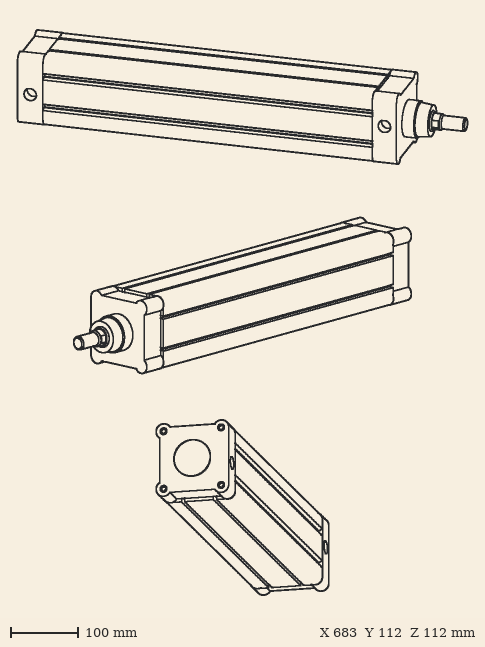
import cadquery as cq


total_length = 683.0
boss_height = 2.0
rear_cap_length = 39.5
barrel_length = 512.0
front_cap_length = 37.5
rear_cap_start = boss_height
barrel_start = rear_cap_start + rear_cap_length
front_cap_start = barrel_start + barrel_length
front_cap_end = front_cap_start + front_cap_length

cap_size = 112.0
lobe_radius = 11.5
lobe_offset = cap_size / 2 - lobe_radius
recessed_half = 50.5

barrel_inset = 0.5
barrel_half = cap_size / 2 - barrel_inset
barrel_corner_radius = barrel_half - lobe_offset
groove_offset = 24.5
groove_width = 5.0
groove_depth = 8.0
mouth_width = 10.0
mouth_depth = 5.5

boss_radius = 28.0
port_radius = 9.5
port_depth = 17.0
port_offset = 6.0
screw_hole_radius = 3.5
screw_hole_depth = 17.0
screw_chamfer = 1.7

neck_radius = boss_radius
neck_length = 18.5
neck_chamfer_length = 1.5
collar_start_radius = 26.0
collar_end_radius = 24.0
collar_length = 19.0
lip_start_radius = 16.0
lip_end_radius = 14.0
lip_length = 3.0
neck_end = front_cap_end + neck_length
collar_start = neck_end + neck_chamfer_length
collar_end = collar_start + collar_length
lip_end = collar_end + lip_length

rod_radius = 12.0
rod_visible_length = 11.5
thread_radius = 10.0
shoulder_length = 3.0
tip_chamfer = 2.0
flat_half_width = 11.0
flat_end_margin = 1.5
shoulder_start = lip_end + rod_visible_length


def cylinder_x(start, length, radius):
    """Cylinder on the X axis."""
    return cq.Workplane("YZ", origin=(start, 0, 0)).circle(radius).extrude(length)


def cap_block(start, length):
    """Cap with four round corner lobes; the -Y face is flush with the lobes, the others are recessed."""
    flush_half = cap_size / 2
    block_width = recessed_half + lobe_offset
    body = (
        cq.Workplane("YZ", origin=(start, (recessed_half - lobe_offset) / 2, 0))
        .rect(block_width, 2 * recessed_half)
        .extrude(length)
    )
    flush_side = (
        cq.Workplane("YZ", origin=(start, -(lobe_offset + flush_half) / 2, 0))
        .rect(flush_half - lobe_offset, 2 * lobe_offset)
        .extrude(length)
    )
    lobes = (
        cq.Workplane("YZ", origin=(start, 0, 0))
        .rect(2 * lobe_offset, 2 * lobe_offset, forConstruction=True)
        .vertices()
        .circle(lobe_radius)
        .extrude(length)
    )
    return body.union(flush_side).union(lobes).clean()


def port(x, z):
    """Blind air port bored into the -Y face."""
    return cq.Workplane("XZ", origin=(x, -cap_size / 2, z)).circle(port_radius).extrude(-port_depth)


def screw_hole(y, z):
    """Blind hole in the rear face with a chamfered mouth."""
    mouth_radius = screw_hole_radius + screw_chamfer
    return (
        cq.Workplane("XY", origin=(rear_cap_start, y, z))
        .lineTo(0, mouth_radius)
        .lineTo(screw_chamfer, screw_hole_radius)
        .lineTo(screw_hole_depth, screw_hole_radius)
        .lineTo(screw_hole_depth, 0)
        .close()
        .revolve(360, (0, 0, 0), (1, 0, 0))
    )


def make_rear_cap():
    cap = cap_block(rear_cap_start, rear_cap_length)
    cap = cap.union(cylinder_x(0, boss_height + rear_cap_length / 2, boss_radius))
    cap = cap.cut(port(rear_cap_start + rear_cap_length / 2, -port_offset))
    for y in (-lobe_offset, lobe_offset):
        for z in (-lobe_offset, lobe_offset):
            cap = cap.cut(screw_hole(y, z))
    return cap


def groove_slot(offset):
    """Straight narrow groove along the -Y face of the barrel."""
    return (
        cq.Workplane("YZ", origin=(barrel_start, -barrel_half + groove_depth / 2, offset))
        .rect(groove_depth, groove_width)
        .extrude(barrel_length)
    )


def groove_mouth(offset):
    """Tapered opening that widens a groove in the -Y face."""
    return (
        cq.Workplane("YZ", origin=(barrel_start, 0, offset))
        .moveTo(-barrel_half, -mouth_width / 2)
        .lineTo(-barrel_half + mouth_depth, -groove_width / 2)
        .lineTo(-barrel_half + mouth_depth, groove_width / 2)
        .lineTo(-barrel_half, mouth_width / 2)
        .close()
        .extrude(barrel_length)
    )


def make_barrel():
    barrel = (
        cq.Workplane("YZ", origin=(barrel_start, 0, 0))
        .rect(2 * barrel_half, 2 * barrel_half)
        .extrude(barrel_length)
        .edges("|X")
        .fillet(barrel_corner_radius)
    )
    for offset in (-groove_offset, groove_offset):
        for angle in (0, 90, 180, 270):
            barrel = barrel.cut(groove_slot(offset).rotate((0, 0, 0), (1, 0, 0), angle))
        barrel = barrel.cut(groove_mouth(offset))
    return barrel


def make_front_cap():
    cap = cap_block(front_cap_start, front_cap_length)
    neck = (
        cq.Workplane("XZ")
        .moveTo(front_cap_start, 0)
        .lineTo(front_cap_start, neck_radius)
        .lineTo(neck_end, neck_radius)
        .lineTo(collar_start, collar_start_radius)
        .lineTo(collar_end, collar_end_radius)
        .lineTo(collar_end, lip_start_radius)
        .lineTo(lip_end, lip_end_radius)
        .lineTo(lip_end, 0)
        .close()
        .revolve(360, (0, 0, 0), (1, 0, 0))
    )
    cap = cap.union(neck)
    cap = cap.cut(port(front_cap_start + front_cap_length / 2, port_offset))
    return cap.cut(cylinder_x(front_cap_start, lip_end - front_cap_start, rod_radius))


def make_rod():
    rod = (
        cq.Workplane("XZ")
        .moveTo(front_cap_start, 0)
        .lineTo(front_cap_start, rod_radius)
        .lineTo(shoulder_start, rod_radius)
        .lineTo(shoulder_start + shoulder_length, thread_radius)
        .lineTo(total_length - tip_chamfer, thread_radius)
        .lineTo(total_length, thread_radius - tip_chamfer)
        .lineTo(total_length, 0)
        .close()
        .revolve(360, (0, 0, 0), (1, 0, 0))
    )
    flat_length = rod_visible_length - flat_end_margin
    flat_centre = lip_end + flat_length / 2
    for side in (-1, 1):
        cut_depth = rod_radius - flat_half_width
        flat = cq.Workplane("XY").box(flat_length, cut_depth, 2 * rod_radius)
        rod = rod.cut(flat.translate((flat_centre, side * (flat_half_width + cut_depth / 2), 0)))
    return rod


rear_cap = make_rear_cap()
barrel = make_barrel()
front_cap = make_front_cap()
rod = make_rod()

result = cq.Compound.makeCompound([rear_cap.val(), barrel.val(), front_cap.val(), rod.val()])